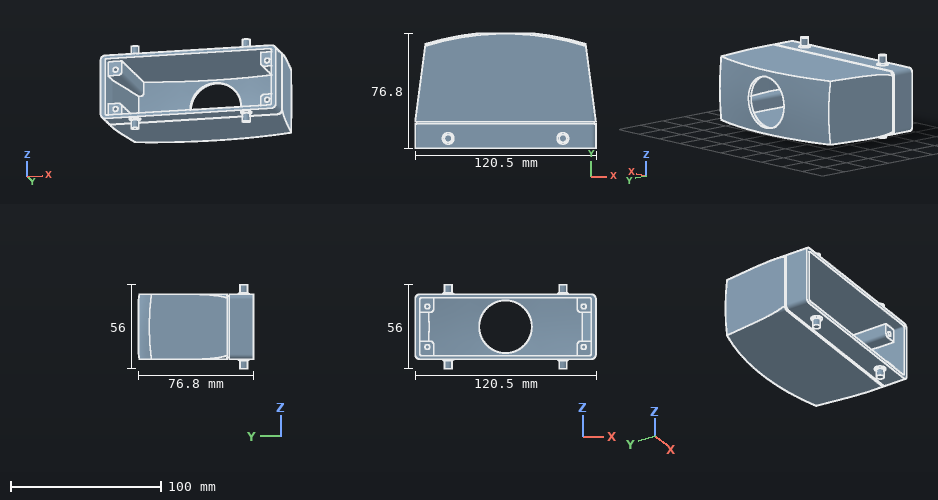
import cadquery as cq
import math


width = 120.5
height = 43.4
corner_radius = 3.3
rim_depth = 16.4
groove_width = 1.2
groove_depth = 1.1
hood_start = rim_depth + groove_width
side_taper = 7.5

dome_radius = 180.8
dome_apex = 77.6
dome_center = dome_apex - dome_radius
cable_hole_diameter = 35.0

side_wall = 3.1
flat_wall = 2.4
back_wall = 2.4
cavity_width = width - 2 * side_wall
cavity_height = height - 2 * flat_wall
cavity_corner_radius = 1.2
cavity_taper_start = 20.8

boss_front = 8.3
boss_inner_x = 47.7
boss_inner_z = 9.6
boss_round = 2.4
screw_hole_diameter = 3.3
screw_hole_x = 52.0
screw_hole_z = 13.5
screw_hole_depth = 12.0

pin_diameter = 5.2
pin_x = 38.2
pin_y = 6.6
overall_height = 56.0
pin_length = (overall_height - height) / 2
collar_base_diameter = 7.6
collar_height = 1.1


def rounded_block(size_x, size_z, radius, y_start, y_end):
    """Block along Y with its four long edges rounded."""
    depth = y_end - y_start
    return (
        cq.Workplane("XY")
        .box(size_x, depth, size_z)
        .edges("|Y")
        .fillet(radius)
        .translate((0, y_start + depth / 2, 0))
    )


def tapered_block(size_x, size_z, y_start, taper_start):
    """Straight block that narrows in X beyond taper_start and reaches past the dome."""
    half = size_x / 2
    half_end = half - (dome_apex - taper_start) * math.tan(math.radians(side_taper))
    return (
        cq.Workplane("XY")
        .workplane(offset=-size_z / 2)
        .moveTo(-half, y_start)
        .lineTo(half, y_start)
        .lineTo(half, taper_start)
        .lineTo(half_end, dome_apex)
        .lineTo(-half_end, dome_apex)
        .lineTo(-half, taper_start)
        .close()
        .extrude(size_z)
    )


def dome_ball(radius):
    return cq.Workplane("XY").sphere(radius).translate((0, dome_center, 0))


def make_outside():
    """Solid envelope: tapered domed hood with a shallow groove behind the rim."""
    block = rounded_block(width, height, corner_radius, 0, dome_apex)
    envelope = block.intersect(tapered_block(width, height, 0, hood_start))
    envelope = envelope.intersect(dome_ball(dome_radius))
    groove_core = rounded_block(
        width - 2 * groove_depth, height - 2 * groove_depth, corner_radius, rim_depth, hood_start
    )
    groove_slab = cq.Workplane("XY").box(width, groove_width, height)
    groove_slab = groove_slab.translate((0, rim_depth + groove_width / 2, 0))
    return envelope.cut(groove_slab.cut(groove_core))


def make_cavity():
    block = rounded_block(cavity_width, cavity_height, cavity_corner_radius, 0, dome_apex)
    taper = tapered_block(cavity_width, cavity_height, 0, cavity_taper_start)
    return block.intersect(taper).intersect(dome_ball(dome_radius - back_wall))


def make_boss(side_x, side_z):
    """Corner post from boss_front to the back, with its free edge rounded."""
    size_x = cavity_width / 2 - boss_inner_x
    size_z = cavity_height / 2 - boss_inner_z
    depth = dome_apex - boss_front
    free_edge = cq.selectors.NearestToPointSelector((-side_x * size_x / 2, 0, -side_z * size_z / 2))
    return (
        cq.Workplane("XY")
        .box(size_x, depth, size_z)
        .edges("|Y")
        .edges(free_edge)
        .fillet(boss_round)
        .translate((
            side_x * (boss_inner_x + size_x / 2),
            boss_front + depth / 2,
            side_z * (boss_inner_z + size_z / 2),
        ))
    )


def cylinder_along_y(diameter, x, z, y_start, length):
    return cq.Workplane("XZ", origin=(x, y_start, z)).circle(diameter / 2).extrude(-length)


def make_housing():
    cavity = make_cavity()
    screw_holes = []
    for side_x in (-1, 1):
        for side_z in (-1, 1):
            cavity = cavity.cut(make_boss(side_x, side_z))
            screw_holes.append(
                cylinder_along_y(
                    screw_hole_diameter,
                    side_x * screw_hole_x,
                    side_z * screw_hole_z,
                    boss_front,
                    screw_hole_depth,
                )
            )
    housing = make_outside().cut(cavity)
    for screw_hole in screw_holes:
        housing = housing.cut(screw_hole)
    return housing.cut(cylinder_along_y(cable_hole_diameter, 0, 0, 0, dome_apex))


def place_on_housing(body, side_x, side_z):
    """Move a body built upward from the origin to a pin place on the top or bottom face."""
    if side_z < 0:
        body = body.rotate((0, 0, 0), (1, 0, 0), 180)
    return body.translate((side_x * pin_x, pin_y, side_z * height / 2))


def make_pin(side_x, side_z):
    pin = cq.Workplane("XY").circle(pin_diameter / 2).extrude(pin_length)
    return place_on_housing(pin, side_x, side_z)


def make_collar(side_x, side_z):
    """Conical ring around the foot of a pin, running out to the pin surface."""
    collar = (
        cq.Workplane("XZ")
        .moveTo(pin_diameter / 2, 0)
        .lineTo(collar_base_diameter / 2, 0)
        .lineTo(pin_diameter / 2, collar_height)
        .close()
        .revolve(360, (0, 0), (0, 1))
    )
    return place_on_housing(collar, side_x, side_z)


housing = make_housing()
pins = []
collars = []
for side_x in (-1, 1):
    for side_z in (-1, 1):
        pins.append(make_pin(side_x, side_z).val())
        collars.append(make_collar(side_x, side_z).val())

result = cq.Compound.makeCompound([housing.val(), *pins, *collars])